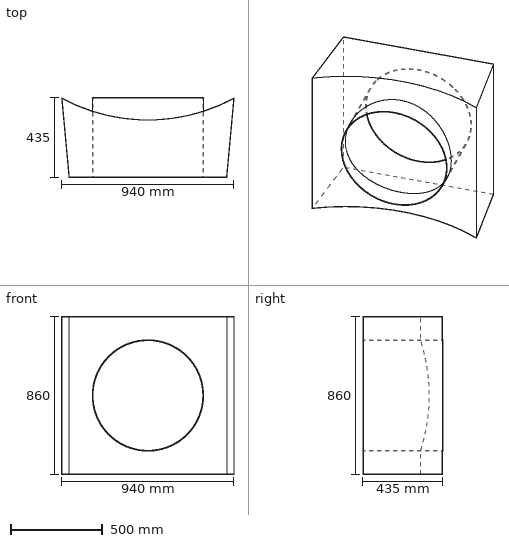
import cadquery as cq

front_width = 860.0
back_width = 940.0
block_height = 860.0
block_depth = 432.0
back_sag = 119.0

sleeve_outer_diameter = 607.0
sleeve_wall = 4.0
sleeve_length = 435.0
sleeve_inner_diameter = sleeve_outer_diameter - 2 * sleeve_wall


def cylinder_along_y(diameter):
    """Cylinder on the Y axis, from the front face plane to the sleeve's back end."""
    return cq.Workplane("XZ").circle(diameter / 2).extrude(-sleeve_length)


def make_block():
    """Vertical prism with a bore that fits the sleeve."""
    prism = (
        cq.Workplane("XY")
        .workplane(offset=-block_height / 2)
        .moveTo(-front_width / 2, 0)
        .lineTo(front_width / 2, 0)
        .lineTo(back_width / 2, block_depth)
        .threePointArc((0, block_depth - back_sag), (-back_width / 2, block_depth))
        .close()
        .extrude(block_height)
    )
    return prism.cut(cylinder_along_y(sleeve_outer_diameter))


def make_sleeve():
    """Plain tube, flush with the front face of the block."""
    return cylinder_along_y(sleeve_outer_diameter).cut(cylinder_along_y(sleeve_inner_diameter))


block = make_block()
sleeve = make_sleeve()

result = cq.Compound.makeCompound([block.val(), sleeve.val()])